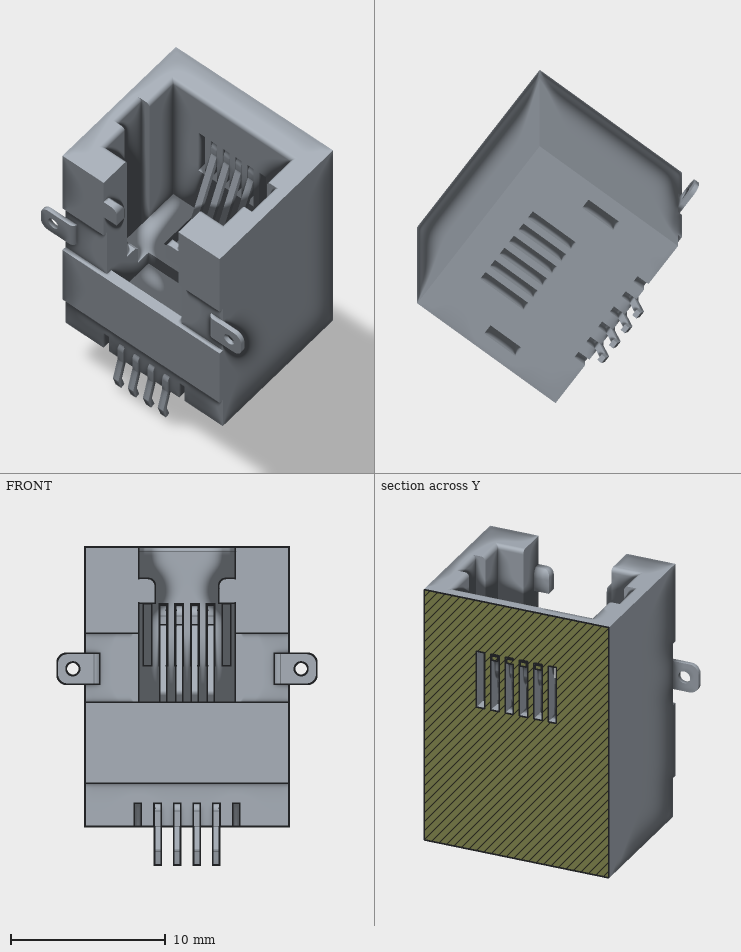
import cadquery as cq
import math


BODY_WIDTH = 13.2
BODY_DEPTH = 11.5
BODY_HEIGHT = 18.1
RECESS_DEPTH = 0.32
LOWER_RECESS_HEIGHT = 2.8
TAB_RECESS_TOP = 12.5
EXTRA = 1.0

CAVITY_WIDTH = 9.88
CAVITY_FRONT = 2.37
CAVITY_BACK = 9.23
FLOOR_Z = 6.1
RIM_RADIUS = 0.3
LEDGE_BACK = 3.5
LEDGE_TOP = 7.85
LEDGE_CHAMFER = 0.3

GROOVE_FRONT = 4.31
GROOVE_BACK = 6.82
GROOVE_HALF_WIDTH = 5.62

WINDOW_WIDTH = 6.27
WINDOW_BOTTOM = 8.06
POCKET_FRONT = 0.75
POCKET_BACK = 4.55
POCKET_BOTTOM = 4.93
CATCH_GAP = 4.12
CATCH_BOTTOM = 14.46
CATCH_TOP = 16.05
CATCH_CORNER_RADIUS = 0.45
CATCH_CURVE_DEPTH = 0.3
CATCH_CURVE_HEIGHT = 0.63

SLOT_PITCH = 1.02
SLOT_WIDTH = 0.56
SLOT_COUNT = 6
SLOT_FRONT = 5.72
SLOT_BACK = 10.2
WALL_SLOT_BOTTOM = 10.4
WALL_SLOT_TOP = 14.4
CONTACT_XS = (-1.54, -0.49, 0.49, 1.54)
STRIP_WIDTH = 0.46
STRIP_THICKNESS = 0.35
CONTACT_FACE_Y = 9.25
CONTACT_BEND_RADIUS = 0.7
CONTACT_BEND_Z = 13.63
CONTACT_KINK_Z = 13.02
CONTACT_SLOPE = 0.42
CONTACT_END_Y = 5.2
CONTACT_ANCHOR = 0.4

NOTCH_PITCH = 1.27
NOTCH_WIDTH = 0.46
NOTCH_COUNT = 6
NOTCH_TOP = 1.53
NOTCH_BACK = 1.2
LEAD_XS = (-1.88, -0.635, 0.635, 1.88)
LEAD_FACE_Y = 0.155
LEAD_BEND_RADIUS = 0.5
LEAD_ANCHOR = 1.5
LEAD_ELBOW_Z = -1.54
LEAD_OVERHANG = 0.3
LEAD_BOTTOM = -2.49
FOOT_ANGLE = 17.0

TAB_REACH = 8.405
TAB_BOTTOM = 9.2
TAB_TOP = 11.22
TAB_THICKNESS = 0.32
TAB_CORNER_RADIUS = 0.65
TAB_BEND_RADIUS = 0.4
TAB_LEG_LENGTH = 1.5
TAB_HOLE_X = 7.38
TAB_HOLE_DIAMETER = 0.85


def block(x_range, y_range, z_range):
    """Box given by its limits along each axis."""
    corner = (x_range[0], y_range[0], z_range[0])
    return cq.Workplane("XY").box(
        x_range[1] - x_range[0],
        y_range[1] - y_range[0],
        z_range[1] - z_range[0],
        centered=False,
    ).translate(corner)


def centered_block(width, y_range, z_range, x_center=0.0):
    return block((x_center - width / 2, x_center + width / 2), y_range, z_range)


def row_positions(count, pitch):
    return [(i - (count - 1) / 2) * pitch for i in range(count)]


def mirrored_pair(right_half):
    return right_half.union(right_half.mirror("YZ"))


def housing_shell():
    """Outer block with the rounded plug cavity, the front ledge and the front recesses."""
    body = centered_block(BODY_WIDTH, (0, BODY_DEPTH), (0, BODY_HEIGHT))
    cavity = centered_block(CAVITY_WIDTH, (CAVITY_FRONT, CAVITY_BACK), (FLOOR_Z, BODY_HEIGHT))
    rim = cq.selectors.BoxSelector(
        (-CAVITY_WIDTH / 2 - RIM_RADIUS, CAVITY_FRONT - RIM_RADIUS, BODY_HEIGHT - RIM_RADIUS),
        (CAVITY_WIDTH / 2 + RIM_RADIUS, CAVITY_BACK + RIM_RADIUS, BODY_HEIGHT + RIM_RADIUS),
    )
    body = body.cut(cavity).edges(rim).fillet(RIM_RADIUS)

    ledge = centered_block(CAVITY_WIDTH, (CAVITY_FRONT, LEDGE_BACK), (FLOOR_Z, LEDGE_TOP))
    body = body.union(ledge.edges(">Y and >Z").chamfer(LEDGE_CHAMFER))

    recess_width = BODY_WIDTH + 2 * EXTRA
    recess_y = (-EXTRA, RECESS_DEPTH)
    body = body.cut(centered_block(recess_width, recess_y, (-EXTRA, LOWER_RECESS_HEIGHT)))
    return body.cut(centered_block(recess_width, recess_y, (WINDOW_BOTTOM, TAB_RECESS_TOP)))


def side_grooves():
    """Full-height grooves in the cavity sides, flared by a rounded lip at the top."""
    y_range = (GROOVE_FRONT, GROOVE_BACK)
    groove = block((CAVITY_WIDTH / 2, GROOVE_HALF_WIDTH), y_range, (0, BODY_HEIGHT))
    lip_x = GROOVE_HALF_WIDTH + RIM_RADIUS
    lip_z = BODY_HEIGHT - RIM_RADIUS
    lip = block((GROOVE_HALF_WIDTH, lip_x), y_range, (lip_z, BODY_HEIGHT))
    rounding = (
        cq.Workplane("XZ", origin=(lip_x, GROOVE_FRONT, lip_z))
        .circle(RIM_RADIUS)
        .extrude(GROOVE_FRONT - GROOVE_BACK)
    )
    return mirrored_pair(groove.union(lip.cut(rounding)))


def latch_window():
    """Front opening, together with the latch pocket sunk into the cavity floor."""
    window = centered_block(
        WINDOW_WIDTH, (-EXTRA, CAVITY_FRONT + RIM_RADIUS), (WINDOW_BOTTOM, BODY_HEIGHT + EXTRA)
    )
    pocket = centered_block(
        WINDOW_WIDTH, (POCKET_FRONT, POCKET_BACK), (POCKET_BOTTOM, WINDOW_BOTTOM + EXTRA)
    )
    return window.union(pocket)


def latch_catches():
    """Two lugs in the window, with a rounded inner top corner and a back that curves forward at the top."""
    z_range = (CATCH_BOTTOM, CATCH_TOP)
    x_range = (CATCH_GAP / 2, WINDOW_WIDTH / 2)
    rounded_corner = block(x_range, (0, POCKET_FRONT), z_range)
    rounded_corner = rounded_corner.edges("<X and >Z").fillet(CATCH_CORNER_RADIUS)
    arc_radius = (CATCH_CURVE_HEIGHT**2 + CATCH_CURVE_DEPTH**2) / (2 * CATCH_CURVE_DEPTH)
    curved_back = (
        cq.Workplane("YZ", origin=(x_range[0], 0, 0))
        .moveTo(0, CATCH_BOTTOM)
        .lineTo(POCKET_FRONT, CATCH_BOTTOM)
        .lineTo(POCKET_FRONT, CATCH_TOP - CATCH_CURVE_HEIGHT)
        .radiusArc((POCKET_FRONT - CATCH_CURVE_DEPTH, CATCH_TOP), -arc_radius)
        .lineTo(0, CATCH_TOP)
        .close()
        .extrude(x_range[1] - x_range[0])
    )
    return mirrored_pair(rounded_corner.intersect(curved_back))


def contact_slots():
    """Comb of slots through the floor, continued by slots in the cavity's back wall."""
    slots = cq.Workplane("XY")
    for x in row_positions(SLOT_COUNT, SLOT_PITCH):
        floor_slot = centered_block(SLOT_WIDTH, (SLOT_FRONT, CAVITY_BACK), (0, FLOOR_Z), x)
        wall_slot = centered_block(
            SLOT_WIDTH, (CAVITY_BACK, SLOT_BACK), (WALL_SLOT_BOTTOM, WALL_SLOT_TOP), x
        )
        slots = slots.add(floor_slot).add(wall_slot)
    return slots.combine()


def lead_notches():
    notches = cq.Workplane("XY")
    for x in row_positions(NOTCH_COUNT, NOTCH_PITCH):
        notches = notches.add(
            centered_block(NOTCH_WIDTH, (0, NOTCH_BACK), (-EXTRA, NOTCH_TOP), x)
        )
    return notches.combine()


def bent_strip(start_y, face_y, bend_radius, bend_z, later_points):
    """Strip along YZ: level from start_y, bent down, then straight through later_points.

    The bend's outer face has bend_radius and ends at height bend_z on the plane Y = face_y.
    """
    half = STRIP_THICKNESS / 2
    middle_radius = bend_radius - half
    center_y = face_y + bend_radius
    diagonal = middle_radius * math.sqrt(0.5)
    level_z = bend_z + middle_radius
    path = (
        cq.Workplane("YZ")
        .moveTo(start_y, level_z)
        .lineTo(center_y, level_z)
        .threePointArc(
            (center_y - diagonal, bend_z + diagonal),
            (center_y - middle_radius, bend_z),
        )
    )
    for point in later_points:
        path = path.lineTo(*point)
    return (
        cq.Workplane("XZ", origin=(0, start_y, level_z))
        .rect(STRIP_WIDTH, STRIP_THICKNESS)
        .sweep(path, transition="round")
    )


def spring_contact():
    """Contact leaning forward from the back wall down into the front end of its floor slot."""
    middle_y = CONTACT_FACE_Y + STRIP_THICKNESS / 2
    end_z = CONTACT_KINK_Z - (middle_y - CONTACT_END_Y) / CONTACT_SLOPE
    return bent_strip(
        SLOT_BACK + CONTACT_ANCHOR,
        CONTACT_FACE_Y,
        CONTACT_BEND_RADIUS,
        CONTACT_BEND_Z,
        [(middle_y, CONTACT_KINK_Z), (CONTACT_END_Y, end_z)],
    )


def solder_lead():
    """Lead leaving the front wall, turning down and ending in a foot bent back under the part."""
    half = STRIP_THICKNESS / 2
    foot = math.radians(FOOT_ANGLE)
    elbow_y = half - LEAD_OVERHANG
    end_z = LEAD_BOTTOM + half * math.sin(foot)
    end_y = elbow_y + (LEAD_ELBOW_Z - end_z) * math.tan(foot)
    return bent_strip(
        LEAD_ANCHOR,
        LEAD_FACE_Y,
        LEAD_BEND_RADIUS,
        NOTCH_TOP - LEAD_BEND_RADIUS,
        [(LEAD_FACE_Y + half, 0), (elbow_y, LEAD_ELBOW_Z), (end_y, end_z)],
    )


def mounting_tabs():
    """Drilled plates in the front recess, each bent back into the housing wall."""
    z_range = (TAB_BOTTOM, TAB_TOP)
    plate = block((GROOVE_HALF_WIDTH, TAB_REACH), (0, TAB_THICKNESS), z_range)
    plate = plate.edges("|Y and >X").fillet(TAB_CORNER_RADIUS)
    leg_x = (GROOVE_HALF_WIDTH, GROOVE_HALF_WIDTH + TAB_THICKNESS)
    leg = block(leg_x, (0, TAB_LEG_LENGTH), z_range)
    tab = plate.union(leg).edges("|Z and <X and <Y").fillet(TAB_BEND_RADIUS)
    hole = (
        cq.Workplane("XZ", origin=(TAB_HOLE_X, 0, (TAB_BOTTOM + TAB_TOP) / 2))
        .circle(TAB_HOLE_DIAMETER / 2)
        .extrude(-TAB_THICKNESS)
    )
    return mirrored_pair(tab.cut(hole))


result = housing_shell()
for cutter in (side_grooves(), latch_window(), contact_slots(), lead_notches()):
    result = result.cut(cutter)
result = result.union(latch_catches()).union(mounting_tabs())
for contact_x in CONTACT_XS:
    result = result.union(spring_contact().translate((contact_x, 0, 0)))
for lead_x in LEAD_XS:
    result = result.union(solder_lead().translate((lead_x, 0, 0)))